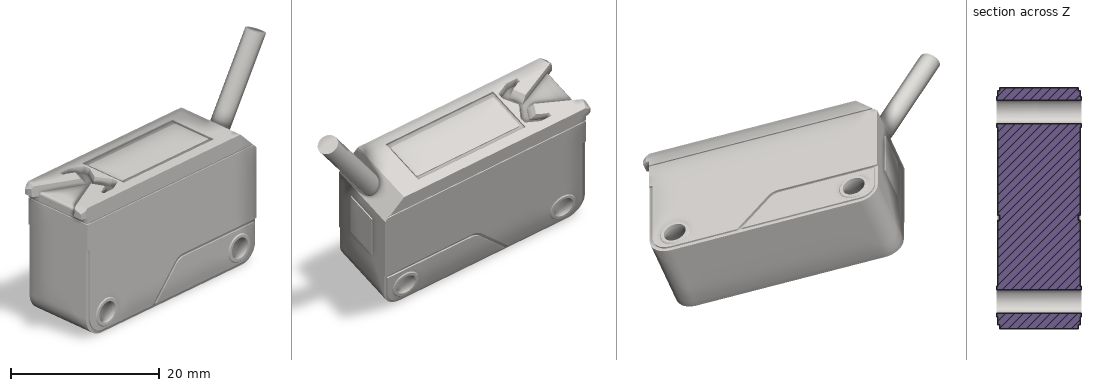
import cadquery as cq
import math

half_width = 5.55
length = 32.43
height = 20.07
rear_bevel = 3.05
front_corner_radius = 2.98
rear_corner_radius = 2.57

margin_depth = 0.25
margin = 0.52
rear_margin = 0.4
margin_top = 13.5
rear_panel_gap = 0.5
notch_top = 6.25
slope_foot = 12.5
slope_angle = math.radians(49)
slope_bend_length = 0.9

hole_diameter = 3.1
boss_diameter = 4.2
boss_protrusion = 0.14
boss_half_width = half_width + boss_protrusion
boss_chamfer = 0.12
hole_height = 2.95
hole_positions = (3.7, 29.13)

groove_bottom = 17.5
groove_height = 0.25
groove_depth = 0.15

pad_width = 5.1
pad_thickness = 0.15
pad_bottom = 8.1
pad_top = 14.95

window_width = 7.85
window_front = 8.65
window_rear = 26.0
window_depth = 0.32
insert_width = 6.35
insert_front = 9.05
insert_rear = 25.75
insert_height = 0.15
insert_radius = 0.3

recess_depth = 1.0
recess_draft = 14
recess_lip_radius = 0.35
recess_notch_y = 7.1
recess_head = ((2.15, 8.3), (3.18, 8.3), (4.15, 6.35))
arm_overhang = 0.93
arm_height = 1.53
arm_draft = 5
arm_tip_inner = 3.95
arm_head_inner = (0.45, 6.15)
arm_head_outer = (2.4, 7.1)
arm_ramp_run = 0.95
arm_root = (3.55, 5.0)
channel_outer = recess_head[-1][0]
channel_end = 4.6
channel_ramp_run = 0.6
arm_corner = (0.3, 0.52)
arm_tip_drop = 0.8
arm_tip_run = 4.0
arm_tip_retreat = 1.4

overall_length = 40.25
cable_diameter = 2.9
cable_angle = 30
cable_start = (30.95, 18.43)
cable_cut_angle = 24


def slope_edge(wire, foot_y, foot_z, top_z):
    """Draw from the foot up the slope and round the bend into the level top edge."""
    corner_y = foot_y + (top_z - foot_z) / math.tan(slope_angle)
    bend_start = (
        corner_y - slope_bend_length * math.cos(slope_angle),
        top_z - slope_bend_length * math.sin(slope_angle),
    )
    bend_end = (corner_y + slope_bend_length, top_z)
    return wire.lineTo(*bend_start).tangentArcPoint(bend_end, relative=False)


def quarter_arc(wire, start, end, center):
    """Arc between two points that lie on a quarter circle below its center."""
    radius = math.dist(start, center)
    direction_y = math.copysign(radius * math.sqrt(0.5), start[0] + end[0] - 2 * center[0])
    middle = (center[0] + direction_y, center[1] - radius * math.sqrt(0.5))
    return wire.threePointArc(middle, end)


def make_core():
    wire = cq.Workplane("YZ").moveTo(0, height).lineTo(0, front_corner_radius)
    wire = quarter_arc(
        wire, (0, front_corner_radius), (front_corner_radius, 0), (front_corner_radius, front_corner_radius)
    )
    rear_arc_start = length - rear_corner_radius
    wire = wire.lineTo(rear_arc_start, 0)
    wire = quarter_arc(
        wire, (rear_arc_start, 0), (length, rear_corner_radius), (rear_arc_start, rear_corner_radius)
    )
    wire = wire.lineTo(length, height - rear_bevel).lineTo(length - rear_bevel, height).close()
    return wire.extrude(half_width - margin_depth, both=True)


def make_main_panel():
    wire = cq.Workplane("YZ").moveTo(0, height).lineTo(0, margin_top).lineTo(margin, margin_top)
    arc_start = (margin, front_corner_radius)
    arc_end = (front_corner_radius, margin)
    wire = quarter_arc(
        wire.lineTo(*arc_start), arc_start, arc_end, (front_corner_radius, front_corner_radius)
    )
    wire = slope_edge(wire.lineTo(slope_foot, margin), slope_foot, margin, notch_top)
    wire = wire.lineTo(length, notch_top).lineTo(length, height - rear_bevel)
    return wire.lineTo(length - rear_bevel, height).close().extrude(half_width, both=True)


def make_rear_panel():
    rear = length - rear_margin
    foot = slope_foot + rear_panel_gap / math.sin(slope_angle)
    top = notch_top - rear_panel_gap
    arc_end_y = rear - (rear_corner_radius - margin)
    wire = slope_edge(cq.Workplane("YZ").moveTo(foot, margin), foot, margin, top)
    wire = wire.lineTo(rear, top).lineTo(rear, rear_corner_radius)
    wire = quarter_arc(
        wire, (rear, rear_corner_radius), (arc_end_y, margin), (arc_end_y, rear_corner_radius)
    )
    return wire.close().extrude(half_width, both=True)


def make_bosses():
    bosses = cq.Workplane("YZ").pushPoints([(y, hole_height) for y in hole_positions])
    bosses = bosses.circle(boss_diameter / 2).extrude(boss_half_width, both=True)
    return bosses.faces("<X or >X").edges().chamfer(boss_chamfer)


def cut_holes(body):
    holes = cq.Workplane("YZ").pushPoints([(y, hole_height) for y in hole_positions])
    return body.cut(holes.circle(hole_diameter / 2).extrude(boss_half_width, both=True))


def cut_groove(body):
    """Cut the seam groove along the front and both sides."""
    band = cq.Workplane("XY", origin=(0, 0, groove_bottom))
    band = band.rect(3 * half_width, 2 * length).extrude(groove_height)
    inside = cq.Workplane("XY", origin=(0, length / 2 + groove_depth, groove_bottom))
    inside = inside.rect(2 * (half_width - groove_depth), length).extrude(groove_height)
    return body.cut(band.cut(inside))


def block(width, front, rear, bottom, top):
    """Box centered on X = 0."""
    return cq.Workplane("XY").box(
        width, rear - front, top - bottom, centered=(True, False, False)
    ).translate((0, front, bottom))


def cut_window(body):
    floor = height - window_depth
    pocket = block(window_width, window_front, window_rear, floor, height)
    insert = block(insert_width, insert_front, insert_rear, floor, floor + insert_height)
    return body.cut(pocket.cut(insert.edges("|Z").fillet(insert_radius)))


def cut_arrow_recess(body):
    """Cut the drafted arrow recess, open to the front, and round its front lip."""
    right = [*recess_head, (channel_outer, -2 * arm_overhang)]
    left = [(-x, y) for x, y in reversed(right)]
    recess = cq.Workplane("XY", origin=(0, 0, height)).polyline([(0, recess_notch_y)] + right + left).close()
    body = body.cut(recess.extrude(-recess_depth, taper=recess_draft))
    floor = height - recess_depth
    lip = cq.Workplane("YZ").moveTo(recess_lip_radius, floor).lineTo(0, floor)
    lip = lip.lineTo(0, floor - recess_lip_radius)
    arc_middle = recess_lip_radius * (1 - math.sqrt(0.5))
    lip = lip.threePointArc((arc_middle, floor - arc_middle), (recess_lip_radius, floor)).close()
    return body.cut(lip.extrude(channel_outer, both=True))


def make_arm():
    """Right-hand arm: a wedge from the side of the cover, ramped at its head, with a hooked tip."""
    bottom = height - arm_height
    floor = height - recess_depth
    draft_run = arm_height * math.tan(math.radians(arm_draft))
    beyond_side = half_width + arm_height
    tip_slope_x = (arm_tip_inner - arm_head_inner[0]) / (arm_head_inner[1] + arm_overhang)
    beyond_tip = -arm_overhang - arm_height

    wedge = cq.Workplane("XY", origin=(0, 0, bottom)).polyline([
        arm_head_inner,
        arm_head_outer,
        arm_root,
        (arm_root[0], channel_end + draft_run),
        (beyond_side, channel_end + draft_run),
        (beyond_side, beyond_tip),
        (arm_tip_inner + tip_slope_x * arm_height, beyond_tip),
    ]).close().extrude(arm_height, taper=arm_draft)

    limits = cq.Workplane("XY", origin=(0, 0, bottom)).polyline([
        (0, arm_head_outer[1]),
        (half_width, arm_head_outer[1]),
        (half_width, arm_corner[1] - arm_overhang),
        (half_width - arm_corner[0], -arm_overhang),
        (0, -arm_overhang),
    ]).close().extrude(arm_height)
    arm = wedge.intersect(limits)

    head_x = arm_head_outer[0] - arm_head_inner[0]
    head_y = arm_head_outer[1] - arm_head_inner[1]
    head_length = math.hypot(head_x, head_y)
    outward = (-head_y / head_length, head_x / head_length)
    ramp_normal = (outward[0] * recess_depth, outward[1] * recess_depth, arm_ramp_run)
    ramp_plane = cq.Plane(
        origin=(*arm_head_inner, floor), xDir=(head_x, head_y, 0), normal=ramp_normal
    )
    arm = arm.cut(cq.Workplane(ramp_plane).rect(4 * head_length, 4 * head_length).extrude(arm_height))

    ramp_side = arm_root[0] - draft_run
    channel_ramp = cq.Workplane("YZ", origin=(ramp_side, 0, 0)).polyline(
        [(channel_end, floor), (channel_end + channel_ramp_run, floor), (channel_end, height)]
    ).close()
    arm = arm.union(channel_ramp.extrude(channel_outer - ramp_side))

    slope_y = arm_tip_drop / arm_overhang
    slope_x = slope_y * arm_tip_retreat / arm_tip_run
    tip_plane = cq.Plane(
        origin=(half_width, 0, height), xDir=(1, 0, -slope_x), normal=(slope_x, -slope_y, 1)
    )
    return arm.cut(cq.Workplane(tip_plane).rect(2 * half_width, 2 * half_width).extrude(arm_height))


def make_cable():
    lean = math.radians(cable_angle)
    axis = cq.Plane(
        origin=(0, *cable_start), xDir=(1, 0, 0), normal=(0, math.sin(lean), math.cos(lean))
    )
    cut_lean = math.radians(cable_cut_angle)
    end_half_run = cable_diameter / 2 * math.cos(cut_lean) / math.cos(lean - cut_lean)
    end_y = overall_length - arm_overhang - end_half_run
    cable_end = (end_y, cable_start[1] + (end_y - cable_start[0]) / math.tan(lean))
    overlength = math.dist(cable_start, cable_end) + cable_diameter
    rod = cq.Workplane(axis).circle(cable_diameter / 2).extrude(overlength)
    rod = rod.union(cq.Workplane(axis).circle(cable_diameter / 2).extrude(-cable_diameter / 2))
    cut_plane = cq.Plane(
        origin=(0, *cable_end), xDir=(1, 0, 0), normal=(0, math.sin(cut_lean), math.cos(cut_lean))
    )
    return rod.cut(cq.Workplane(cut_plane).rect(4 * cable_diameter, 4 * cable_diameter).extrude(overlength))


housing = make_core().union(make_main_panel()).union(make_rear_panel())
housing = cut_groove(housing)
housing = cut_arrow_recess(cut_window(housing))
arm = make_arm()
housing = housing.union(arm).union(arm.mirror("YZ"))
housing = cut_holes(housing.union(make_bosses()))
housing = housing.union(block(pad_width, length, length + pad_thickness, pad_bottom, pad_top))
result = housing.union(make_cable())